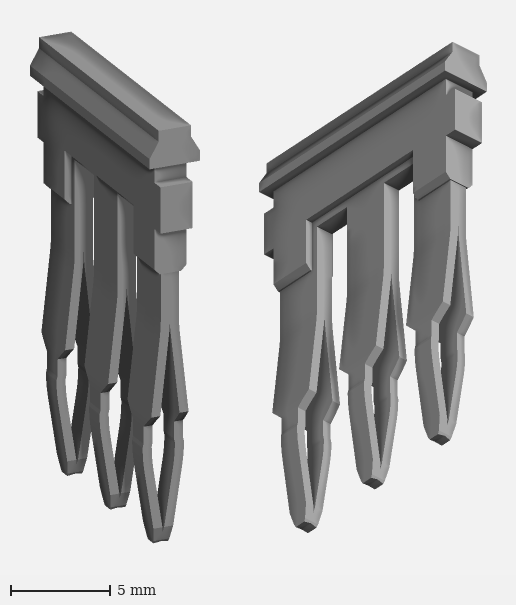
import cadquery as cq
import math

TOTAL_HEIGHT = 23.02

BODY_THICKNESS = 1.8
BODY_WIDTH = 13.17
RAIL_WIDTH = 14.2
RAIL_THICKNESS = 2.8
RAIL_BOTTOM = 21.02
RAIL_SLOPE_BOTTOM = 21.57
RAIL_SLOPE_TOP = 22.42
LUG_WIDTH = 14.6
LUG_TOP = 20.03
LUG_BOTTOM = 17.52
WINDOW_WIDTH = 8.17
WINDOW_TOP = 17.95
LEG_BOTTOM = 15.0
LEG_CHAMFER = 0.3

PRONG_COUNT = 3
PRONG_PITCH = 5.1
PRONG_WIDTH = 2.8
STRIP_THICKNESS = 0.5
BAR_TOP = LUG_TOP
BAR_BOTTOM = LUG_BOTTOM
COMB_THICKNESS = 2 * STRIP_THICKNESS
COMB_WIDTH = (PRONG_COUNT - 1) * PRONG_PITCH + PRONG_WIDTH

SPLIT_TOP = 12.5
FLARE_TOP = 11.63
FLARE_BOTTOM = 7.05
SHOULDER_BOTTOM = 6.54
STEP_TOP = 5.62
STEP_BOTTOM = 5.39
CLOSING_TOP = 4.1

FLARE_SLOPE = math.tan(math.radians(6.4))
CLOSING_SLOPE = math.tan(math.radians(8.9))
STEP_Y = 1.15

FLARE_TOP_Y = STRIP_THICKNESS + FLARE_SLOPE * (SPLIT_TOP - FLARE_TOP) / 2
FLARE_BOTTOM_Y = FLARE_TOP_Y + FLARE_SLOPE * (FLARE_TOP - FLARE_BOTTOM)
STRAIGHT_Y = FLARE_BOTTOM_Y + FLARE_SLOPE * (FLARE_BOTTOM - SHOULDER_BOTTOM) / 2
CLOSING_TOP_Y = STEP_Y - CLOSING_SLOPE * (STEP_BOTTOM - CLOSING_TOP) / 2
TIP_Y = CLOSING_TOP_Y - CLOSING_SLOPE * CLOSING_TOP
TIP_NOTCH = 0.07

SHOULDER_TOP = 7.3
PIN_WIDTH = 1.25
TIP_TAPER_TOP = 0.92
TIP_CORNER_TOP = 0.15
TIP_CORNER_WIDTH = 0.83
TIP_WIDTH = 0.65


def block(width, thickness, bottom, top):
    """Box centred in X and Y between two heights."""
    return (
        cq.Workplane("XY", origin=(0, 0, bottom))
        .rect(width, thickness)
        .extrude(top - bottom)
    )


def make_rail():
    half_body = BODY_THICKNESS / 2
    half_rail = RAIL_THICKNESS / 2
    return (
        cq.Workplane("YZ")
        .moveTo(half_body, TOTAL_HEIGHT)
        .lineTo(half_body, RAIL_SLOPE_TOP)
        .lineTo(half_rail, RAIL_SLOPE_BOTTOM)
        .lineTo(half_rail, RAIL_BOTTOM)
        .lineTo(-half_rail, RAIL_BOTTOM)
        .lineTo(-half_rail, RAIL_SLOPE_BOTTOM)
        .lineTo(-half_body, RAIL_SLOPE_TOP)
        .lineTo(-half_body, TOTAL_HEIGHT)
        .close()
        .extrude(RAIL_WIDTH / 2, both=True)
    )


def make_housing(comb):
    body = block(BODY_WIDTH, BODY_THICKNESS, LEG_BOTTOM, RAIL_BOTTOM)
    body = body.faces("<Z").edges("|X").chamfer(LEG_CHAMFER)
    lugs = block(LUG_WIDTH, BODY_THICKNESS, LUG_BOTTOM, LUG_TOP)
    window = block(WINDOW_WIDTH, BODY_THICKNESS, LEG_BOTTOM, WINDOW_TOP)
    return body.union(lugs).cut(window).union(make_rail()).cut(comb)


def bend_middle(straight_end, bent_end):
    """Middle of a shallow arc that leaves its straight end vertically: a quarter of the rise."""
    y = straight_end[0] + (bent_end[0] - straight_end[0]) / 4
    z = (straight_end[1] + bent_end[1]) / 2
    return (y, z)


def face_path(sketch, shift):
    """Draw one face of a strip from the split down to where it starts to close, moved in Y."""
    split = (STRIP_THICKNESS + shift, SPLIT_TOP)
    flare_start = (FLARE_TOP_Y + shift, FLARE_TOP)
    flare_end = (FLARE_BOTTOM_Y + shift, FLARE_BOTTOM)
    shoulder = (STRAIGHT_Y + shift, SHOULDER_BOTTOM)
    step_start = (STRAIGHT_Y + shift, STEP_TOP)
    step_end = (STEP_Y + shift, STEP_BOTTOM)
    closing = (CLOSING_TOP_Y + shift, CLOSING_TOP)
    return (
        sketch.threePointArc(bend_middle(split, flare_start), flare_start)
        .lineTo(*flare_end)
        .threePointArc(bend_middle(shoulder, flare_end), shoulder)
        .lineTo(*step_start)
        .lineTo(*step_end)
        .threePointArc(bend_middle(step_end, closing), closing)
    )


def make_half_prong():
    """Bowed strip on the +Y side: everything inside its outer face, less the gap behind it."""
    gap_bottom = CLOSING_TOP - (CLOSING_TOP_Y - STRIP_THICKNESS) / CLOSING_SLOPE
    shank = (
        cq.Workplane("YZ")
        .moveTo(0, BAR_BOTTOM)
        .lineTo(STRIP_THICKNESS, BAR_BOTTOM)
        .lineTo(STRIP_THICKNESS, SPLIT_TOP)
    )
    outer = face_path(shank, 0).lineTo(TIP_Y, 0).lineTo(0, TIP_NOTCH).close()
    gap_start = cq.Workplane("YZ").moveTo(0, SPLIT_TOP)
    gap = face_path(gap_start, -STRIP_THICKNESS).lineTo(0, gap_bottom).close()
    half_width = PRONG_WIDTH / 2
    return outer.extrude(half_width, both=True).cut(gap.extrude(half_width, both=True))


def make_prong_outline():
    """Front outline of a prong: wide blade, shoulders, narrow pin and tapered tip with cut corners."""
    half_blade = PRONG_WIDTH / 2
    half_pin = PIN_WIDTH / 2
    half_tip = TIP_WIDTH / 2
    return (
        cq.Workplane("XZ")
        .moveTo(0, BAR_BOTTOM)
        .lineTo(half_blade, BAR_BOTTOM)
        .lineTo(half_blade, SHOULDER_TOP)
        .lineTo(half_pin, SHOULDER_BOTTOM)
        .lineTo(half_pin, TIP_TAPER_TOP)
        .lineTo(TIP_CORNER_WIDTH / 2, TIP_CORNER_TOP)
        .lineTo(half_tip, 0)
        .lineTo(0, 0)
        .mirrorY()
        .extrude(RAIL_THICKNESS / 2, both=True)
    )


def make_prong():
    half = make_half_prong()
    return half.union(half.mirror("XZ")).intersect(make_prong_outline())


def make_comb():
    comb = block(COMB_WIDTH, COMB_THICKNESS, BAR_BOTTOM, BAR_TOP)
    prong = make_prong()
    for index in range(PRONG_COUNT):
        x = (index - (PRONG_COUNT - 1) / 2) * PRONG_PITCH
        comb = comb.union(prong.translate((x, 0, 0)))
    return comb


comb = make_comb()
housing = make_housing(comb)
result = cq.Compound.makeCompound([housing.val(), comb.val()])